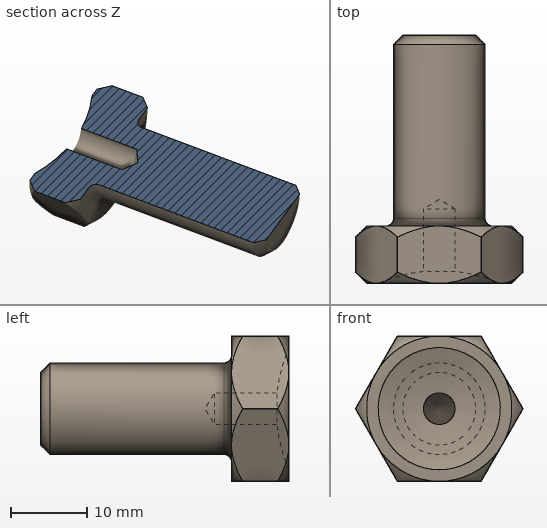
import cadquery as cq
import math

total_length = 32.5
shank_diameter = 12.0
tip_chamfer = 1.25
underhead_radius = 1.0

head_height = 7.5
across_flats = 19.0
corner_diameter = 21.9
across_corners = across_flats / math.cos(math.radians(30))

dish_diameter = 16.0
dish_radius = 20.0
hole_diameter = 4.13
hole_depth = 9.75
drill_point_angle = 118.0

shank_radius = shank_diameter / 2
flat_radius = across_flats / 2
corner_radius = corner_diameter / 2
hole_radius = hole_diameter / 2


def revolve_about_y(profile):
    """Revolve a closed XY profile about the bolt axis."""
    return profile.close().revolve(360, (0, 0, 0), (0, 1, 0))


def make_head():
    """Hexagon with lightly rounded edges and 45 degree conical chamfers at both faces."""
    hexagon = (
        cq.Workplane("XZ")
        .polygon(6, across_corners)
        .extrude(-head_height)
    )
    corner_chamfer = corner_radius - flat_radius
    envelope = revolve_about_y(
        cq.Workplane("XY")
        .lineTo(flat_radius, 0)
        .lineTo(corner_radius, corner_chamfer)
        .lineTo(corner_radius, head_height - corner_chamfer)
        .lineTo(flat_radius, head_height)
        .lineTo(0, head_height)
    )
    return hexagon.intersect(envelope)


def make_shank():
    """Chamfered cylinder that flares into the underside of the head."""
    flare_start = head_height + underhead_radius
    flare_center_x = shank_radius + underhead_radius
    diagonal = underhead_radius * math.sqrt(0.5)
    return revolve_about_y(
        cq.Workplane("XY")
        .moveTo(0, head_height)
        .lineTo(flare_center_x, head_height)
        .threePointArc(
            (flare_center_x - diagonal, flare_start - diagonal),
            (shank_radius, flare_start),
        )
        .lineTo(shank_radius, total_length - tip_chamfer)
        .lineTo(shank_radius - tip_chamfer, total_length)
        .lineTo(0, total_length)
    )


def make_dish():
    """Sphere that cuts the head face in the dish rim circle."""
    center_offset = math.sqrt(dish_radius**2 - (dish_diameter / 2) ** 2)
    return cq.Workplane("XY").sphere(dish_radius).translate((0, -center_offset, 0))


def make_hole():
    """Blind drilled hole with a conical bottom."""
    point_length = hole_radius / math.tan(math.radians(drill_point_angle / 2))
    return revolve_about_y(
        cq.Workplane("XY")
        .lineTo(hole_radius, 0)
        .lineTo(hole_radius, hole_depth)
        .lineTo(0, hole_depth + point_length)
    )


result = make_head().union(make_shank()).cut(make_dish()).cut(make_hole())